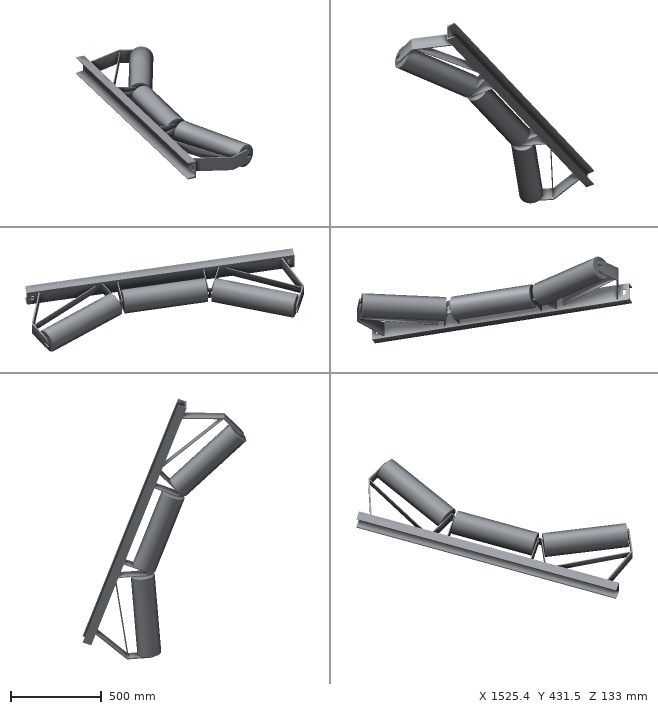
import cadquery as cq
import math


BEAM_LENGTH = 1500.0
BEAM_HEIGHT = 100.0
BEAM_DEPTH = 50.0
WEB_THICKNESS = 6.0
FLANGE_ROOT_THICKNESS = 10.0
FLANGE_TIP_THICKNESS = 6.0
FLANGE_ROOT_RADIUS = 9.0
FLANGE_TIP_RADIUS = 5.0
MOUNT_SLOT_WIDTH = 18.0
MOUNT_SLOT_HEIGHT = 32.0
MOUNT_SLOT_X = 720.0

ROLLER_DIAMETER = 133.0
ROLLER_LENGTH = 465.0
ROLLER_END_RADIUS = 3.0
SHAFT_DIAMETER = 20.0
MIDDLE_ROLLER_Y = 117.0
SIDE_ROLLER_X = 488.0
SIDE_ROLLER_Y = 224.0
TROUGH_ANGLE = 25.0

ROLLER_GAP = 6.0
BRACKET_WIDTH = 78.0
OUTER_PLATE = 8.0
OUTER_FOOT_X = 677.0
OUTER_KNEE_Y = 215.0
OUTER_TIP_HEIGHT = 34.0
OUTER_TIP_RADIUS = 37.0
OUTER_BEND_RADIUS = 8.0
INNER_PLATE = 5.0
INNER_TOP_Y = 145.0
INNER_BEND_RADIUS = 3.0
BRACE_PLATE = 5.0
BRACE_WIDTH = 50.0
BRACE_FOOT_X = 370.0

HALF_ROLLER = ROLLER_LENGTH / 2
BRACKET_FACE = HALF_ROLLER + ROLLER_GAP
SHAFT_HALF_LENGTH = BRACKET_FACE + INNER_PLATE
SIDE_CENTRE = cq.Vector(SIDE_ROLLER_X, SIDE_ROLLER_Y, 0)
TROUGH = math.radians(TROUGH_ANGLE)
FOOT_OVERRUN = 15.0


def to_side_roller(body):
    """Move a body from the origin to the axis of the +X side roller."""
    return body.rotate((0, 0, 0), (0, 0, 1), TROUGH_ANGLE).translate(SIDE_CENTRE)


def side_plate_point(along, y):
    """Point at height y on the line square to the side roller axis, `along` from its middle."""
    foot_x = SIDE_ROLLER_X + along * math.cos(TROUGH)
    foot_y = SIDE_ROLLER_Y + along * math.sin(TROUGH)
    return (foot_x - (y - foot_y) * math.tan(TROUGH), y)


def extended_below(foot, above):
    """Carry the line from `above` through `foot` on down to FOOT_OVERRUN below the beam."""
    slope = (foot[0] - above[0]) / (above[1] - foot[1])
    return (foot[0] + slope * (foot[1] + FOOT_OVERRUN), -FOOT_OVERRUN)


def cylinder_along_x(diameter, start, length):
    """Cylinder about the X axis, running from `start` in +X."""
    return cq.Workplane("YZ").workplane(offset=start).circle(diameter / 2).extrude(length)


def bent_plate(face, thickness, width, bend_radius):
    """Sheet whose one face follows the points `face`; its thickness lies to the right of that path."""
    points = [cq.Vector(*point) for point in face]
    runs = [(end - start).normalized() for start, end in zip(points, points[1:])]
    normals = [cq.Vector(run.y, -run.x, 0) for run in runs]
    back = []
    for point, before, after in zip(points, normals[:1] + normals, normals + normals[-1:]):
        mitre = (before + after) * (thickness / (1 + before.dot(after)))
        back.append(point + mitre)
    outline = [(point.x, point.y) for point in points + back[::-1]]
    plate = cq.Workplane("XY").workplane(offset=-width / 2).polyline(outline).close().extrude(width)
    for index in range(1, len(points) - 1):
        turns_right = runs[index - 1].cross(runs[index]).z < 0
        face_radius = bend_radius + (thickness if turns_right else 0)
        back_radius = bend_radius + (0 if turns_right else thickness)
        for corner, radius in ((points[index], face_radius), (back[index], back_radius)):
            plate = plate.edges(cq.NearestToPointSelector(corner.toTuple())).fillet(radius)
    return plate


def trim_at_beam(plate):
    """Cut off everything below the back face of the beam."""
    below = cq.Workplane("XY").box(2 * BEAM_LENGTH, BEAM_DEPTH, BEAM_HEIGHT).translate((0, -BEAM_DEPTH / 2, 0))
    return plate.cut(below)


def shaft_slot(along, plate_thickness, height):
    """Open slot, round at the bottom, for a shaft along X; `along` is the middle of the plate."""
    cut_length = 2 * plate_thickness
    bottom = cylinder_along_x(SHAFT_DIAMETER, along - cut_length / 2, cut_length)
    mouth = cq.Workplane("XY").box(cut_length, height, SHAFT_DIAMETER).translate((along, height / 2, 0))
    return bottom.union(mouth)


def make_beam():
    half_height = BEAM_HEIGHT / 2
    root_z = half_height - FLANGE_ROOT_THICKNESS
    tip_z = half_height - FLANGE_TIP_THICKNESS
    profile = [
        (0, -half_height),
        (0, half_height),
        (-BEAM_DEPTH, half_height),
        (-BEAM_DEPTH, tip_z),
        (-WEB_THICKNESS, root_z),
        (-WEB_THICKNESS, -root_z),
        (-BEAM_DEPTH, -tip_z),
        (-BEAM_DEPTH, -half_height),
    ]
    start = -BEAM_LENGTH / 2
    beam = cq.Workplane("YZ").workplane(offset=start).polyline(profile).close().extrude(BEAM_LENGTH)
    for side in (-1, 1):
        root = cq.NearestToPointSelector((0, -WEB_THICKNESS, side * root_z))
        beam = beam.edges("|X").edges(root).fillet(FLANGE_ROOT_RADIUS)
        tip = cq.NearestToPointSelector((0, -BEAM_DEPTH, side * tip_z))
        beam = beam.edges("|X").edges(tip).fillet(FLANGE_TIP_RADIUS)
    slots = (
        cq.Workplane("XZ")
        .pushPoints([(-MOUNT_SLOT_X, 0), (MOUNT_SLOT_X, 0)])
        .rect(MOUNT_SLOT_WIDTH, MOUNT_SLOT_HEIGHT)
        .extrude(WEB_THICKNESS)
    )
    return beam.cut(slots)


def make_roller():
    """Drum with its shaft, centred on the origin along X."""
    drum = cylinder_along_x(ROLLER_DIAMETER, -HALF_ROLLER, ROLLER_LENGTH).edges().fillet(ROLLER_END_RADIUS)
    shaft = cylinder_along_x(SHAFT_DIAMETER, -SHAFT_HALF_LENGTH, 2 * SHAFT_HALF_LENGTH)
    return drum.union(shaft)


OUTER_KNEE = side_plate_point(BRACKET_FACE, OUTER_KNEE_Y)


def make_outer_bracket():
    tip_y = SIDE_ROLLER_Y + BRACKET_FACE * math.sin(TROUGH) + OUTER_TIP_HEIGHT * math.cos(TROUGH)
    tip = side_plate_point(BRACKET_FACE, tip_y)
    foot = extended_below((OUTER_FOOT_X, 0), OUTER_KNEE)
    plate = bent_plate([foot, OUTER_KNEE, tip], OUTER_PLATE, BRACKET_WIDTH, OUTER_BEND_RADIUS)
    for side in (-1, 1):
        corner = cq.NearestToPointSelector((tip[0], tip[1], side * BRACKET_WIDTH / 2))
        across = cq.ParallelDirSelector(cq.Vector(math.cos(TROUGH), math.sin(TROUGH), 0))
        plate = plate.edges(across).edges(corner).fillet(OUTER_TIP_RADIUS)
    slot = shaft_slot(BRACKET_FACE + OUTER_PLATE / 2, OUTER_PLATE, 2 * OUTER_TIP_HEIGHT)
    return trim_at_beam(plate.cut(to_side_roller(slot)))


def make_inner_bracket():
    middle_foot = (BRACKET_FACE, -FOOT_OVERRUN)
    middle_top = (BRACKET_FACE, INNER_TOP_Y)
    side_top = side_plate_point(-BRACKET_FACE, INNER_TOP_Y)
    side_foot = side_plate_point(-BRACKET_FACE, -FOOT_OVERRUN)
    face = [middle_foot, middle_top, side_top, side_foot]
    plate = bent_plate(face, INNER_PLATE, BRACKET_WIDTH, INNER_BEND_RADIUS)
    slot_height = 2 * (INNER_TOP_Y - MIDDLE_ROLLER_Y)
    slot = shaft_slot(BRACKET_FACE + INNER_PLATE / 2, INNER_PLATE, slot_height)
    middle_slot = slot.translate((0, MIDDLE_ROLLER_Y, 0))
    side_slot = to_side_roller(slot.mirror("YZ"))
    return trim_at_beam(plate.cut(middle_slot).cut(side_slot))


def make_brace(bracket):
    """Flat strut from the beam to the inside of the outer bracket's knee."""
    foot = extended_below((BRACE_FOOT_X, 0), OUTER_KNEE)
    strut = bent_plate([OUTER_KNEE, foot], BRACE_PLATE, BRACE_WIDTH, 0)
    return trim_at_beam(strut.cut(bracket))


beam = make_beam()
middle_roller = make_roller().translate((0, MIDDLE_ROLLER_Y, 0))
side_roller = to_side_roller(make_roller())
outer_bracket = make_outer_bracket()
inner_bracket = make_inner_bracket()
brace = make_brace(outer_bracket)

bodies = [beam.val(), middle_roller.val()]
for body in (side_roller, outer_bracket, inner_bracket, brace):
    bodies.append(body.val())
    bodies.append(body.mirror("YZ").val())

result = cq.Compound.makeCompound(bodies)